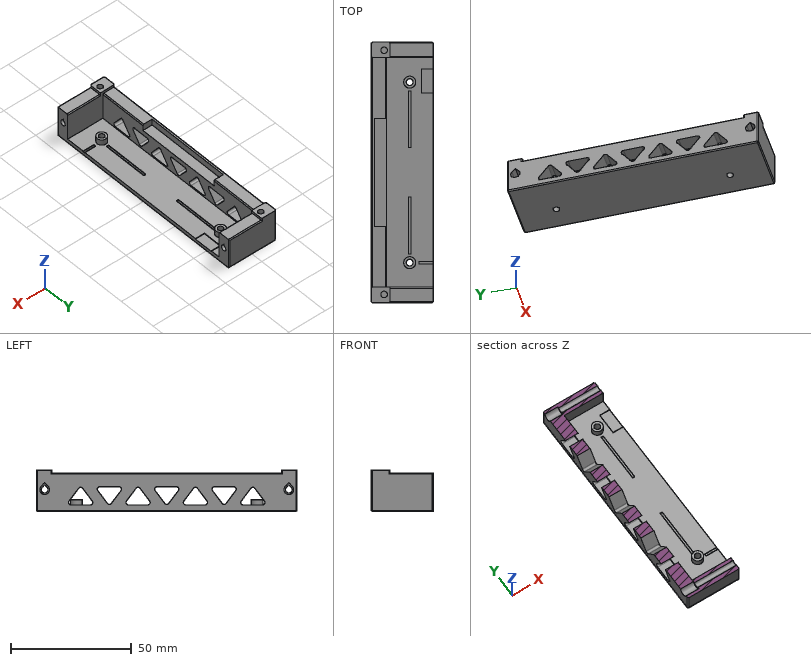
import cadquery as cq
import math

length = 108.5
width = 25.9
height = 17.2
wall_height = 16.1
wall_thickness = 6.5
end_thickness = 6.5
floor_thickness = 2.1
edge_chamfer = 0.5
inner_length = length - 2 * end_thickness

post_width = 7.9
post_hole_diameter = 2.7
post_hole_depth = 4.3
post_hole_x = 5.4
end_hole_y = length / 2 - 3.5

bore_diameter = 2.7
bore_mouth_diameter = 4.0
bore_mouth_depth = wall_thickness
bore_z = 9.1
bore_roof_angle = 42

window_count = 7
window_pitch = 11.9
window_base = window_pitch
window_height = 7.9
window_corner_radius = 1.0
window_bottom = 2.8
window_top = 10.3

notch_length = 44.9
notch_lip = 1.4
notch_depth = 3.3

standoff_x = 16.1
standoff_y = 37.5
standoff_diameter = 5.0
standoff_hole_diameter = 2.7
standoff_top = 5.0

mark_depth = 0.3
mark_bottom = floor_thickness - mark_depth
groove_width = 1.0
long_groove_start = 10.3
long_groove_end = 33.8
side_groove_x = 20.0
recess_x = 20.9
recess_y_min = 33.0
recess_length = 10.0


def block(x_min, x_max, y_min, y_max, z_min, z_max):
    size = (x_max - x_min, y_max - y_min, z_max - z_min)
    return cq.Workplane("XY").box(*size, centered=False).translate((x_min, y_min, z_min))


def make_body():
    half = length / 2
    half_inner = inner_length / 2
    body = block(0, width, -half, half, 0, wall_height)
    for y_min in (-half, half_inner):
        body = body.union(block(0, post_width, y_min, y_min + end_thickness, 0, height))

    outline = body.faces("<X or <Y or >Y").edges("not >Z")
    body = outline.chamfer(edge_chamfer)

    interior = block(wall_thickness, width, -half_inner, half_inner, floor_thickness, height)
    body = body.cut(interior)
    return body.cut(inner_chamfer_cutter())


def inner_chamfer_cutter():
    bevel = edge_chamfer
    half_inner = inner_length / 2
    wall_bevel = (
        cq.Workplane("XZ", origin=(wall_thickness, half_inner, wall_height))
        .polyline([(-bevel, 0), (0, 0), (0, -bevel)])
        .close()
        .extrude(inner_length)
    )
    end_bevel = (
        cq.Workplane("YZ", origin=(post_width, half_inner, wall_height))
        .polyline([(bevel, 0), (0, 0), (0, -bevel)])
        .close()
        .extrude(width - post_width)
    )
    return wall_bevel.union(end_bevel).union(end_bevel.mirror("XZ"))


def make_window(index):
    center_y = (index - (window_count - 1) / 2) * window_pitch
    points_up = index % 2 == 0
    base_z = window_bottom if points_up else window_top
    tip_z = base_z + (window_height if points_up else -window_height)
    half_base = window_base / 2
    return (
        cq.Workplane("YZ")
        .polyline([(center_y - half_base, base_z), (center_y + half_base, base_z), (center_y, tip_z)])
        .close()
        .extrude(wall_thickness)
        .edges("|X")
        .fillet(window_corner_radius)
    )


def make_teardrop(diameter, depth, y):
    radius = diameter / 2
    roof_angle = math.radians(bore_roof_angle)
    tangent_y = radius * math.cos(roof_angle)
    tangent_z = radius * math.sin(roof_angle)
    tip_z = radius / math.sin(roof_angle)
    return (
        cq.Workplane("YZ", origin=(0, y, bore_z))
        .moveTo(tangent_y, tangent_z)
        .lineTo(0, tip_z)
        .lineTo(-tangent_y, tangent_z)
        .threePointArc((0, -radius), (tangent_y, tangent_z))
        .close()
        .extrude(depth)
    )


def make_cylinder(diameter, x, y, z_min, z_max):
    return cq.Workplane("XY", origin=(x, y, z_min)).circle(diameter / 2).extrude(z_max - z_min)


result = make_body()

for window_index in range(window_count):
    result = result.cut(make_window(window_index))

half_notch = notch_length / 2
notch_bottom = wall_height - notch_depth
result = result.cut(block(notch_lip, wall_thickness, -half_notch, half_notch, notch_bottom, height))

for side in (-1, 1):
    end_y = side * end_hole_y
    result = result.cut(make_teardrop(bore_diameter, width, end_y))
    result = result.cut(make_teardrop(bore_mouth_diameter, bore_mouth_depth, end_y))
    result = result.cut(
        make_cylinder(post_hole_diameter, post_hole_x, end_y, height - post_hole_depth, height)
    )

    boss_y = side * standoff_y
    result = result.union(make_cylinder(standoff_diameter, standoff_x, boss_y, 0, standoff_top))
    result = result.cut(make_cylinder(standoff_hole_diameter, standoff_x, boss_y, 0, standoff_top))

half_groove = groove_width / 2
groove_x = (standoff_x - half_groove, standoff_x + half_groove)
for groove_y in ((long_groove_start, long_groove_end), (-long_groove_end, -long_groove_start)):
    result = result.cut(block(*groove_x, *groove_y, mark_bottom, floor_thickness))

side_groove_y = (-standoff_y - half_groove, -standoff_y + half_groove)
result = result.cut(block(side_groove_x, width, *side_groove_y, mark_bottom, floor_thickness))

recess_y = (recess_y_min, recess_y_min + recess_length)
result = result.cut(block(recess_x, width, *recess_y, mark_bottom, floor_thickness))